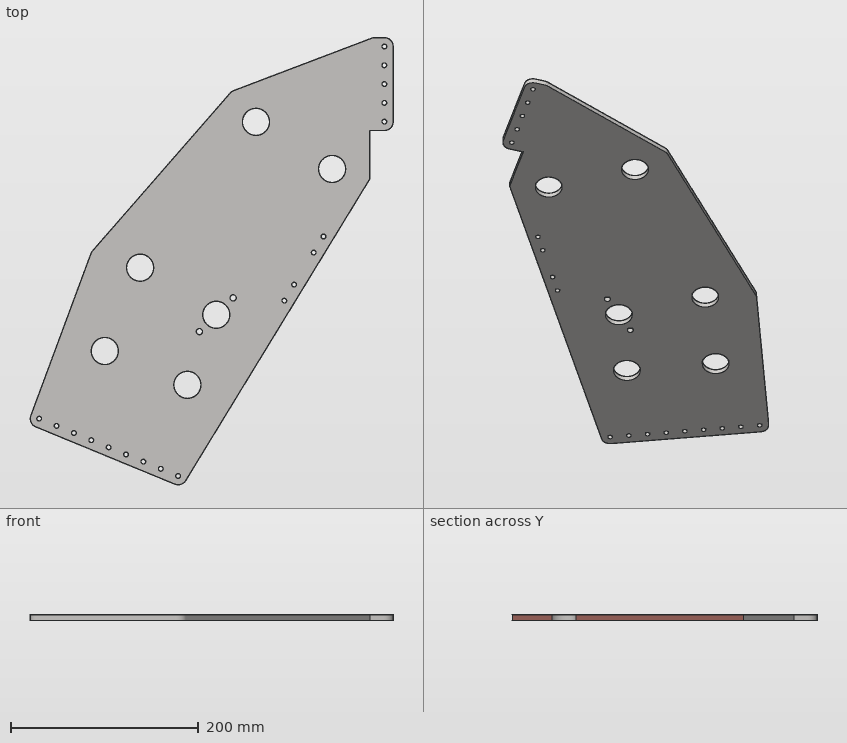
import cadquery as cq
import math

THICKNESS = 6.35
LENGTH_X = 386.46
LENGTH_Y = 476.16

EDGE_MARGIN = 9.525
HOLE_PITCH = 20.0
EDGE_HOLE_DIAMETER = 4.8

BASE_ANGLE = -22.4
LEFT_ANGLE = 69.65
SHOULDER_ANGLE = 48.9
TOP_ANGLE = 20.8
RIGHT_ANGLE = 58.6

SHOULDER_POINT = (65.2, 247.9)
TOP_EDGE_START_X = 365.0
NOTCH_X = 361.5

TAB_HOLE_COUNT = 5
BASE_HOLE_COUNT = 9
SIDE_HOLE_START = (270.5, 196.1)
SIDE_HOLE_STEPS = (0, 1, 3, 4)

OPENING_DIAMETER = 28.575
PAIR_OFFSET = (81.05, -50.1)
UPPER_OPENING = (240.3, 386.4)
MIDDLE_OPENING = (117.0, 231.2)
LOWER_OPENINGS = [(79.4, 142.5), (167.3, 106.5)]
BOLT_HOLE_DIAMETER = 6.35
BOLT_SPACING = 50.8
BOLT_ANGLE = 45.0


def move(point, angle, distance):
    """Point reached by going a distance from a point at an angle in degrees."""
    turn = math.radians(angle)
    return (point[0] + distance * math.cos(turn), point[1] + distance * math.sin(turn))


def crossing(point_a, angle_a, point_b, angle_b):
    """Crossing of two lines, each given by a point and an angle in degrees."""
    a, b = math.radians(angle_a), math.radians(angle_b)
    dx = point_b[0] - point_a[0]
    dy = point_b[1] - point_a[1]
    distance = (dx * math.sin(b) - dy * math.cos(b)) / math.sin(b - a)
    return move(point_a, angle_a, distance)


def hole_row(start, angle, steps):
    """Hole centres at whole pitches along a line."""
    return [move(start, angle, step * HOLE_PITCH) for step in steps]


base_drop = (BASE_HOLE_COUNT - 1) * HOLE_PITCH * math.sin(math.radians(-BASE_ANGLE))
base_holes = hole_row((EDGE_MARGIN, EDGE_MARGIN + base_drop), BASE_ANGLE, range(BASE_HOLE_COUNT))
tab_holes = hole_row((LENGTH_X - EDGE_MARGIN, LENGTH_Y - EDGE_MARGIN), -90, range(TAB_HOLE_COUNT))
side_holes = hole_row(SIDE_HOLE_START, RIGHT_ANGLE, SIDE_HOLE_STEPS)
edge_holes = base_holes + tab_holes + side_holes


def make_plate():
    """Flat plate with a notch below the tab at its upper right."""
    base_edge = move(base_holes[0], BASE_ANGLE - 90, EDGE_MARGIN)
    left_edge = move(base_holes[0], LEFT_ANGLE + 90, EDGE_MARGIN)
    right_edge = move(base_holes[-1], RIGHT_ANGLE - 90, EDGE_MARGIN)
    tab_bottom = tab_holes[-1][1] - EDGE_MARGIN

    base_left = crossing(base_edge, BASE_ANGLE, left_edge, LEFT_ANGLE)
    base_right = crossing(base_edge, BASE_ANGLE, right_edge, RIGHT_ANGLE)
    notch_bottom = crossing(right_edge, RIGHT_ANGLE, (NOTCH_X, 0), 90)
    tab_lower = (LENGTH_X, tab_bottom)
    tab_upper = (LENGTH_X, LENGTH_Y)
    top_start = (TOP_EDGE_START_X, LENGTH_Y)
    shoulder_low = crossing(left_edge, LEFT_ANGLE, SHOULDER_POINT, SHOULDER_ANGLE)
    shoulder_high = crossing(SHOULDER_POINT, SHOULDER_ANGLE, top_start, TOP_ANGLE)

    outline = [base_left, base_right, notch_bottom, (NOTCH_X, tab_bottom),
               tab_lower, tab_upper, top_start, shoulder_high, shoulder_low]
    plate = cq.Workplane("XY").polyline(outline).close().extrude(THICKNESS)
    for corner in (base_left, base_right, tab_lower, tab_upper, top_start, shoulder_high, shoulder_low):
        nearest = cq.selectors.NearestToPointSelector((corner[0], corner[1], THICKNESS / 2))
        plate = plate.edges("|Z").edges(nearest).fillet(EDGE_MARGIN)
    return plate


def drill(plate, centres, diameter):
    """Cut round holes through the plate."""
    tools = cq.Workplane("XY").pushPoints(centres).circle(diameter / 2).extrude(THICKNESS)
    return plate.cut(tools)


def paired(centre):
    """An opening and its partner across the plate."""
    return [centre, (centre[0] + PAIR_OFFSET[0], centre[1] + PAIR_OFFSET[1])]


middle_pair = paired(MIDDLE_OPENING)
openings = paired(UPPER_OPENING) + middle_pair + LOWER_OPENINGS
bolt_holes = [move(middle_pair[1], BOLT_ANGLE, side * BOLT_SPACING / 2) for side in (-1, 1)]

result = make_plate()
result = drill(result, edge_holes, EDGE_HOLE_DIAMETER)
result = drill(result, openings, OPENING_DIAMETER)
result = drill(result, bolt_holes, BOLT_HOLE_DIAMETER)